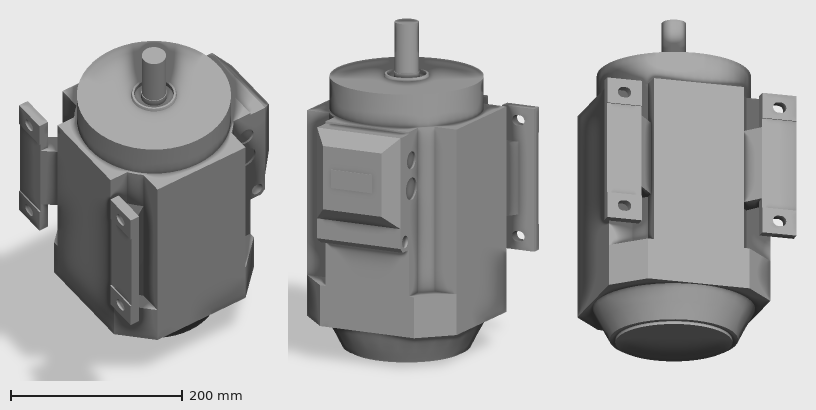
import cadquery as cq
import math

fan_ring_top = 3.5
fan_cover_top = 41.3
notch_bottom = 90.5
body_top = 288.5
flange_top = 327.8
boss_top = 331.0
shoulder_top = 333.3
shaft_top = 393.0

body_width = 197.3
body_half = body_width / 2
flat_half = 62.0
corner_chamfer = body_half - flat_half
notch_half_x = 55.0
notch_half_y = flat_half
notch_radius = 93.0
notch_arc_x = math.sqrt(notch_radius**2 - notch_half_y**2)
notch_arc_y = math.sqrt(notch_radius**2 - notch_half_x**2)

fan_ring_radius = 68.5
fan_cover_small_radius = 75.0
fan_cover_large_radius = 95.0
flange_radius = 90.0
boss_base_radius = 26.7
boss_top_radius = 25.5
boss_recess_radius = 23.0
boss_recess_depth = 5.5
recess_floor = boss_top - boss_recess_depth
shoulder_radius = 15.0
shaft_radius = 14.0

foot_span = 231.0
pad_width = 42.0
pad_inner_x = foot_span / 2 - pad_width
pad_top_y = -99.5
pad_bottom_y = -111.5
pad_low_z = 107.3
pad_high_z = 279.0
pad_relief_depth = 1.5
pad_relief_length = 110.0
slot_length = 16.0
slot_width = 12.5
slot_spacing = 139.5
slot_x = 94.7
leg_low_z = 149.7
leg_high_z = 237.5
leg_foot_x = 94.7
leg_foot_y = -109.5
leg_root_y = -87.0

box_half_x = notch_half_x
box_outer_y = 119.5
box_low_z = 146.5
box_high_z = 285.7
box_corner_chamfer = 6.0
cover_low_z = 176.5
cover_height = box_high_z - cover_low_z
cover_slope = 16.5
cover_outer_y = box_outer_y + cover_slope
plate_width = 54.2
plate_height = 22.0
plate_thickness = 1.0
cross_hole_y = 108.0
cross_hole_z = 158.5
cross_hole_radius = 7.5
entry_y = 92.5
entry_depth = 2.8
cable_entries = [(253.0, 10.5), (219.0, 13.5)]

pad_mid_z = (pad_low_z + pad_high_z) / 2
cover_mid_z = (cover_low_z + box_high_z) / 2


def disc(radius, low_z, high_z):
    return cq.Workplane("XY").workplane(offset=low_z).circle(radius).extrude(high_z - low_z)


def cone(low_radius, high_radius, low_z, high_z):
    profile = [(0, low_z), (low_radius, low_z), (high_radius, high_z), (0, high_z)]
    return cq.Workplane("XZ").polyline(profile).close().revolve(360, (0, 0), (0, 1))


def block(x_range, y_range, z_range):
    size = [high - low for low, high in (x_range, y_range, z_range)]
    corner = (x_range[0], y_range[0], z_range[0])
    return cq.Workplane("XY").box(*size, centered=False).translate(corner)


def corner_notch(sign_x, sign_y):
    """Corner cut whose inner end is an arc around the shaft axis."""
    arc_mid = notch_radius / math.sqrt(2)
    outer = body_width
    return (
        cq.Workplane("XY")
        .workplane(offset=notch_bottom)
        .moveTo(sign_x * notch_half_x, sign_y * outer)
        .lineTo(sign_x * notch_half_x, sign_y * notch_arc_y)
        .threePointArc((sign_x * arc_mid, sign_y * arc_mid), (sign_x * notch_arc_x, sign_y * notch_half_y))
        .lineTo(sign_x * outer, sign_y * notch_half_y)
        .lineTo(sign_x * outer, sign_y * outer)
        .close()
        .extrude(body_top - notch_bottom)
    )


def make_body():
    body = (
        cq.Workplane("XY")
        .workplane(offset=fan_cover_top)
        .rect(body_width, body_width)
        .extrude(body_top - fan_cover_top)
        .edges("|Z")
        .chamfer(corner_chamfer)
    )
    for sign_x in (-1, 1):
        for sign_y in (-1, 1):
            body = body.cut(corner_notch(sign_x, sign_y))
    return body


def make_turned_parts():
    fan_cover = cone(fan_cover_small_radius, fan_cover_large_radius, fan_ring_top, fan_cover_top)
    boss = cone(boss_base_radius, boss_top_radius, flange_top, boss_top)
    recess = disc(boss_recess_radius, recess_floor, boss_top)
    return (
        disc(fan_ring_radius, 0, fan_ring_top)
        .union(fan_cover)
        .union(disc(flange_radius, body_top, flange_top))
        .union(boss)
        .cut(recess)
        .union(disc(shoulder_radius, recess_floor, shoulder_top))
        .union(disc(shaft_radius, shoulder_top, shaft_top))
    )


def make_foot():
    """Foot on the +X side: a slotted pad carried by a slanted leg."""
    pad = block((pad_inner_x, foot_span / 2), (pad_bottom_y, pad_top_y), (pad_low_z, pad_high_z))
    relief = block(
        (pad_inner_x, foot_span / 2),
        (pad_bottom_y, pad_bottom_y + pad_relief_depth),
        (pad_mid_z - pad_relief_length / 2, pad_mid_z + pad_relief_length / 2),
    )
    slots = (
        cq.Workplane("XZ", origin=(slot_x, pad_top_y, pad_mid_z))
        .rarray(4, slot_spacing, 1, 2)
        .slot2D(slot_length, slot_width)
        .extrude(pad_top_y - pad_bottom_y)
    )
    leg_outline = [
        (notch_half_x, leg_root_y),
        (pad_inner_x, leg_foot_y),
        (pad_inner_x, pad_top_y),
        (leg_foot_x, pad_top_y),
        (notch_arc_x, -notch_half_y),
        (notch_half_x, -notch_half_y),
    ]
    leg = (
        cq.Workplane("XY")
        .workplane(offset=leg_low_z)
        .polyline(leg_outline)
        .close()
        .extrude(leg_high_z - leg_low_z)
    )
    return pad.cut(relief).cut(slots).union(leg)


def make_terminal_box():
    box = (
        block((-box_half_x, box_half_x), (flat_half, box_outer_y), (box_low_z, box_high_z))
        .edges("|X and >Y and <Z")
        .chamfer(box_corner_chamfer)
    )
    cover = (
        cq.Workplane("XZ", origin=(0, box_outer_y, cover_mid_z))
        .rect(2 * box_half_x, cover_height)
        .workplane(offset=-cover_slope)
        .rect(2 * (box_half_x - cover_slope), cover_height - 2 * cover_slope)
        .loft(ruled=True)
    )
    plate = (
        cq.Workplane("XZ", origin=(0, cover_outer_y, cover_mid_z))
        .rect(plate_width, plate_height)
        .extrude(-plate_thickness)
    )
    return box.union(cover).union(plate)


def cut_box_holes(part):
    cross_hole = (
        cq.Workplane("YZ", origin=(-box_half_x, cross_hole_y, cross_hole_z))
        .circle(cross_hole_radius)
        .extrude(2 * box_half_x)
    )
    part = part.cut(cross_hole)
    for height, radius in cable_entries:
        entry = (
            cq.Workplane("YZ", origin=(-box_half_x, entry_y, height))
            .circle(radius)
            .extrude(entry_depth)
        )
        part = part.cut(entry).cut(entry.mirror("YZ"))
    return part


foot = make_foot()
motor = make_body().union(make_turned_parts()).union(foot).union(foot.mirror("YZ"))
result = cut_box_holes(motor.union(make_terminal_box()))